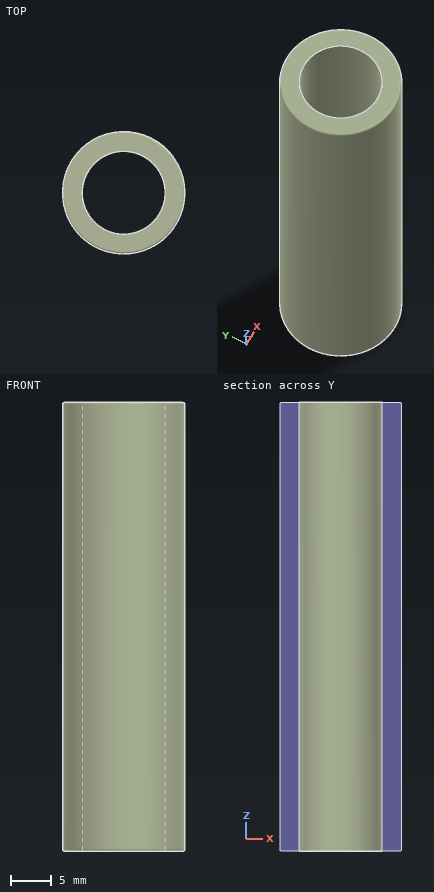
import cadquery as cq

length = 55.0
outer_diameter = 15.0
bore_diameter = 10.1
rim_radius = 0.3

rod = cq.Workplane("XY").cylinder(length, outer_diameter / 2)
rod = rod.faces("<Z or >Z").edges().fillet(rim_radius)

result = rod.faces(">Z").workplane().hole(bore_diameter)